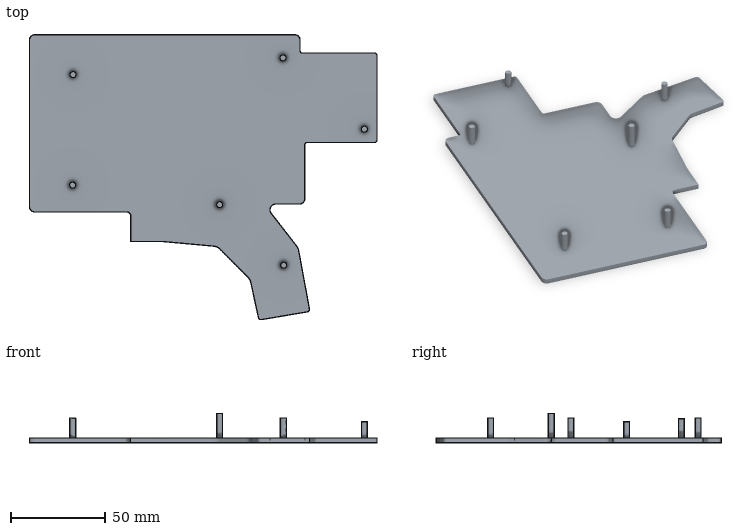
import cadquery as cq

plate_thickness = 2.6
body_height = 94.1
body_width = 143.6

tab_top = 84.4
tab_bottom = 36.8
tab_end = 184.4

shoulder_right = 146.1
shoulder_bottom = 4.2

extension_left = 53.7
extension_bottom = -15.6
extension_slope_start = 70.0
notch_corner_x = 124.5

outer_bend = (142.6, -19.1)
outer_tip = (148.8, -52.7)
inner_tip = (121.7, -57.27)
inner_bend = (117.0, -35.7)
inner_root = (99.7, -18.3)

body_radius = 3.0
tab_radius = 1.5
inner_radius = 1.0
notch_radius = 3.0
step_radius = 2.0
bend_radius = 5.0
arm_radius = 1.5

outline_corners = [
    (0, 0, body_radius),
    (0, body_height, body_radius),
    (body_width, body_height, body_radius),
    (body_width, tab_top, inner_radius),
    (tab_end, tab_top, tab_radius),
    (tab_end, tab_bottom, tab_radius),
    (shoulder_right, tab_bottom, inner_radius),
    (shoulder_right, shoulder_bottom, body_radius),
    (notch_corner_x, shoulder_bottom, notch_radius),
    (*outer_bend, bend_radius),
    (*outer_tip, arm_radius),
    (*inner_tip, arm_radius),
    (*inner_bend, bend_radius),
    (*inner_root, bend_radius),
    (extension_slope_start, extension_bottom, 0),
    (extension_left, extension_bottom, 0),
    (extension_left, 0, step_radius),
]

post_diameter = 3.2
tall_post = 13.0
medium_post = 10.6
left_post = 10.2
short_post = 8.7
posts = [
    (23.2, 72.9, left_post),
    (23.0, 14.3, medium_post),
    (134.5, 81.75, medium_post),
    (177.6, 43.95, short_post),
    (100.9, 3.95, tall_post),
    (134.85, -28.15, medium_post),
]


def make_plate():
    """Extrude the outline with sharp corners, then round each corner in turn."""
    points = [(x, y) for x, y, _ in outline_corners]
    plate = cq.Workplane("XY").polyline(points).close().extrude(plate_thickness)
    for x, y, radius in outline_corners:
        if radius > 0:
            corner = cq.selectors.NearestToPointSelector((x, y, plate_thickness / 2))
            plate = plate.edges("|Z").edges(corner).fillet(radius)
    return plate


def make_post(x, y, height):
    """Cylinder that starts at the bottom of the plate, so that it joins the plate fully."""
    return cq.Workplane("XY").center(x, y).circle(post_diameter / 2).extrude(plate_thickness + height)


result = make_plate()
for post_x, post_y, post_height in posts:
    result = result.union(make_post(post_x, post_y, post_height))